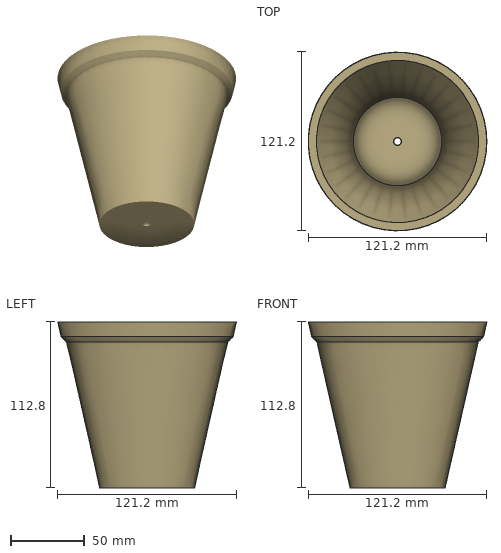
import cadquery as cq

wall = 2.8
cavity_depth = 110.0
cavity_floor_radius = 30.0
cavity_mouth_radius = 55.0
rim_thickness = 2 * wall
rim_height = 10.0
drain_diameter = 5.0

total_height = wall + cavity_depth
taper = (cavity_mouth_radius - cavity_floor_radius) / cavity_depth
rim_bottom_z = total_height - rim_height
shoulder_drop = (rim_thickness - wall) / (1 - taper)
shoulder_bottom_z = rim_bottom_z - shoulder_drop


def cavity_radius(z):
    """Radius of the cavity cone at height z, extended below the floor."""
    return cavity_floor_radius + taper * (z - wall)


def make_outer_body():
    """Solid of revolution: tapered wall, 45 degree shoulder and thick rim."""
    return (
        cq.Workplane("XZ")
        .moveTo(0, 0)
        .lineTo(cavity_radius(0) + wall, 0)
        .lineTo(cavity_radius(shoulder_bottom_z) + wall, shoulder_bottom_z)
        .lineTo(cavity_radius(rim_bottom_z) + rim_thickness, rim_bottom_z)
        .lineTo(cavity_mouth_radius + rim_thickness, total_height)
        .lineTo(0, total_height)
        .close()
        .revolve(360, (0, 0, 0), (0, 1, 0))
    )


def make_cavity():
    """Cone that hollows the pot from its mouth down to the floor."""
    return (
        cq.Workplane("XZ")
        .moveTo(0, wall)
        .lineTo(cavity_floor_radius, wall)
        .lineTo(cavity_mouth_radius, total_height)
        .lineTo(0, total_height)
        .close()
        .revolve(360, (0, 0, 0), (0, 1, 0))
    )


def make_drain():
    """Central drain hole through the floor."""
    return cq.Workplane("XY").circle(drain_diameter / 2).extrude(wall)


result = make_outer_body().cut(make_cavity()).cut(make_drain())